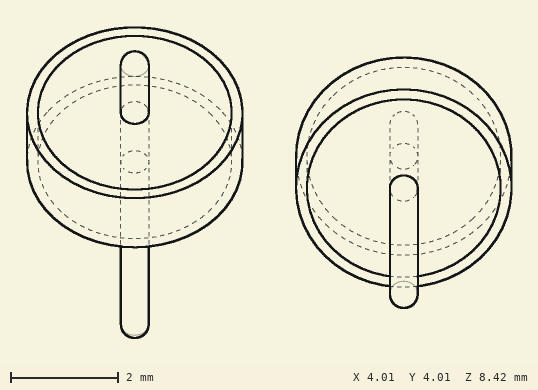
import cadquery as cq
import math

pin_length = 8.42
pin_diameter = 0.52
ring_outer_diameter = 4.01
ring_inner_diameter = 3.6
ring_height = 1.5
pin_above_ring = 1.71
meniscus_depth = 0.05

pin_radius = pin_diameter / 2
bore_radius = ring_inner_diameter / 2
pin_top = ring_height + pin_above_ring
pin_bottom = pin_top - pin_length


def make_ring():
    """Plain outer ring with a through bore."""
    return (
        cq.Workplane("XY")
        .circle(ring_outer_diameter / 2)
        .circle(bore_radius)
        .extrude(ring_height)
    )


def make_pin():
    """Straight pin with a hemisphere at each end."""
    shank_bottom = pin_bottom + pin_radius
    shank_top = pin_top - pin_radius
    shoulder = pin_radius * math.sqrt(0.5)
    return (
        cq.Workplane("XZ")
        .moveTo(0, pin_bottom)
        .threePointArc((shoulder, shank_bottom - shoulder), (pin_radius, shank_bottom))
        .lineTo(pin_radius, shank_top)
        .threePointArc((shoulder, shank_top + shoulder), (0, pin_top))
        .close()
        .revolve(360, (0, 0, 0), (0, 1, 0))
    )


def make_seal():
    """Seal filling the bore around the pin, with a ring-shaped dish in both faces."""
    middle_radius = (pin_radius + bore_radius) / 2
    return (
        cq.Workplane("XZ")
        .moveTo(pin_radius, 0)
        .threePointArc((middle_radius, meniscus_depth), (bore_radius, 0))
        .lineTo(bore_radius, ring_height)
        .threePointArc((middle_radius, ring_height - meniscus_depth), (pin_radius, ring_height))
        .close()
        .revolve(360, (0, 0, 0), (0, 1, 0))
    )


ring = make_ring()
seal = make_seal()
pin = make_pin()

result = cq.Compound.makeCompound([ring.val(), seal.val(), pin.val()])